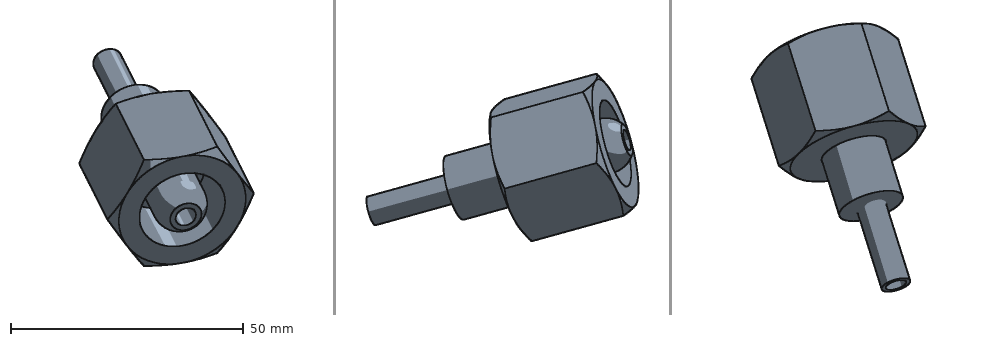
import cadquery as cq
import math


hub_start = 19.15
nut_start = 32.45
nut_end = 56.1
nose_end = 58.75

tube_radius = 3.25
bore_radius = 2.3
hub_radius = 7.15
fillet_radius = 0.8
collar_length = 4.7
nose_root_radius = 5.6
nose_tip_radius = 3.5

across_flats = 28.55
lip_length = 4.7
cavity_radius = 9.65
running_gap = 0.09
chamfer_angle = 30.0
corner_clearance = 0.6

flat_radius = across_flats / 2
corner_radius = flat_radius / math.cos(math.pi / 6)
nut_length = nut_end - nut_start
lip_radius = hub_radius + running_gap
collar_start = nut_start + lip_length
collar_end = collar_start + collar_length
collar_radius = cavity_radius - running_gap

nose_length = nose_end - nut_end
ball_offset = (nose_root_radius**2 - nose_tip_radius**2 - nose_length**2) / (2 * nose_length)
ball_center = nut_end - ball_offset
ball_radius = math.hypot(nose_root_radius, ball_offset)


def revolve_about_x(profile):
    """Turn a closed XY profile all the way round the X axis."""
    return profile.revolve(360, (0, 0, 0), (1, 0, 0))


def make_nipple():
    """Hollow tube, concave fillet, hub, collar and truncated ball nose in one piece."""
    diagonal = fillet_radius * math.sqrt(0.5)
    fillet_center_x = hub_start - fillet_radius
    fillet_center_radius = tube_radius + fillet_radius
    fillet_middle = (fillet_center_x + diagonal, fillet_center_radius - diagonal)
    profile = (
        cq.Workplane("XY")
        .moveTo(0, bore_radius)
        .lineTo(0, tube_radius)
        .lineTo(fillet_center_x, tube_radius)
        .threePointArc(fillet_middle, (hub_start, fillet_center_radius))
        .lineTo(hub_start, hub_radius)
        .lineTo(collar_start, hub_radius)
        .lineTo(collar_start, collar_radius)
        .lineTo(collar_end, collar_radius)
        .lineTo(collar_end, ball_radius)
        .lineTo(ball_center, ball_radius)
        .threePointArc((nut_end, nose_root_radius), (nose_end, nose_tip_radius))
        .lineTo(nose_end, bore_radius)
        .close()
    )
    return revolve_about_x(profile)


def make_nut_envelope():
    """Turned shape of the nut: lip bore, wide cavity, and a cone at each end.

    Each end face is a circle as wide as the flats. The outside clears the
    hexagon corners, so that only the end cones cut them.
    """
    outer_radius = corner_radius + corner_clearance
    cone_length = (outer_radius - flat_radius) * math.tan(math.radians(chamfer_angle))
    profile = (
        cq.Workplane("XY")
        .moveTo(nut_start, lip_radius)
        .lineTo(nut_start, flat_radius)
        .lineTo(nut_start + cone_length, outer_radius)
        .lineTo(nut_end - cone_length, outer_radius)
        .lineTo(nut_end, flat_radius)
        .lineTo(nut_end, cavity_radius)
        .lineTo(collar_start, cavity_radius)
        .lineTo(collar_start, lip_radius)
        .close()
    )
    return revolve_about_x(profile)


def make_nut():
    """Hexagonal bar cut down to the turned envelope."""
    hexagon = (
        cq.Workplane("YZ", origin=(nut_start, 0, 0))
        .polygon(6, 2 * corner_radius)
        .extrude(nut_length)
    )
    return hexagon.intersect(make_nut_envelope())


nipple = make_nipple()
nut = make_nut()

result = cq.Compound.makeCompound([nipple.val(), *nut.solids().vals()])